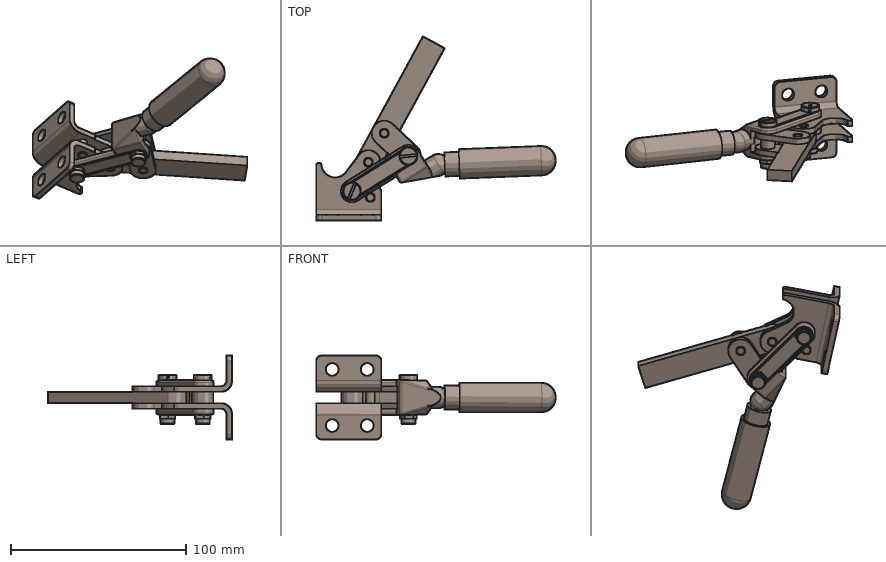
import cadquery as cq
import math


arm_half = 3.1
sheet = 3.3
plate_face = arm_half + sheet
yoke_face = plate_face + sheet
rib_height = 0.4
rib_face = yoke_face + rib_height
overlap = 0.1

base_bolt = (20.4, 16.8)
yoke_angle = 32.0
yoke_pitch = 38.0
yoke_turn = math.radians(yoke_angle)
upper_bolt = (
    base_bolt[0] + yoke_pitch * math.cos(yoke_turn),
    base_bolt[1] + yoke_pitch * math.sin(yoke_turn),
)
arm_pin = (29.8, 33.4)
plate_pin = (38.9, 50.0)
stop_pin = (31.0, 13.3)
pin_radius = 2.6
pin_chamfer = 0.4

bracket_length = 37.2
overall_height = 48.0
bracket_half_height = overall_height / 2
bend_radius = sheet
flange_corner = 3.1
hole_radius = 3.5
hole_xs = (9.2, 29.2)
hole_z = 16.0
bracket_nose = 6.8
notch_centre = (10.8, 32.6)
notch_radius = 7.8
horn_radius = (notch_centre[0] - notch_radius) / 2
horn_y = 31.6
shoulder_y = 17.8

arm_radius = 7.1
arm_length = 78.0
arm_angle = 61.4
spacer_radius = 6.2

yoke_radius = 6.3
yoke_end_u = yoke_pitch + yoke_radius
web_start_u = 26.0
web_start_v = -10.7
web_end_v = -18.1
fold_end_z = 4.1
yoke_fillet = 1.1
rib_radius = 4.9
rib_draft = 0.8

rod_radius = 6.2
rod_v = -13.3
elbow_u = 49.8
handle_angle = 2.2
collar_start = 3.7
grip_start = 12.0
collar_radius = 7.0
grip_radius = 8.5
overall_length = 136.9

head_radius = 5.2
head_top = 13.0
head_chamfer = 0.4
slot_width = 1.3
slot_depth = 1.8
nut_corner_radius = 4.9
nut_height = 1.9
bolt_radius = 4.1
bolt_end = -15.2
base_bolt_turn = 68.0
upper_bolt_turn = 5.7


def polar(centre, radius, degrees):
    """Point at a radius and angle from a centre."""
    turn = math.radians(degrees)
    return (centre[0] + radius * math.cos(turn), centre[1] + radius * math.sin(turn))


def cylinder(centre, radius, low, high):
    """Cylinder parallel to Z."""
    return cq.Workplane(origin=(*centre, low)).circle(radius).extrude(high - low)


def stadium(start, end, radius, low, high):
    """Round-ended bar parallel to XY."""
    run = math.dist(start, end)
    middle = ((start[0] + end[0]) / 2, (start[1] + end[1]) / 2, low)
    turn = math.degrees(math.atan2(end[1] - start[1], end[0] - start[0]))
    bar = cq.Workplane(origin=middle).transformed(rotate=(0, 0, turn))
    return bar.slot2D(run + 2 * radius, 2 * radius).extrude(high - low)


def both_sides(body):
    """Body joined with its reflection in the mid-plane."""
    return body.union(body.mirror("XY"))


def make_bracket():
    """Upper bracket: a shaped side plate bent out into a drilled flange."""
    gap_x = arm_pin[0] - notch_centre[0]
    gap_y = arm_pin[1] - notch_centre[1]
    flank = math.degrees(
        math.atan2(gap_y, gap_x)
        + math.asin((notch_radius + bracket_nose) / math.hypot(gap_x, gap_y))
    )
    outline = (
        cq.Workplane()
        .lineTo(bracket_length, 0)
        .lineTo(bracket_length, shoulder_y)
        .lineTo(arm_pin[0] + bracket_nose, shoulder_y)
        .lineTo(arm_pin[0] + bracket_nose, arm_pin[1])
        .threePointArc(
            polar(arm_pin, bracket_nose, 90), polar(arm_pin, bracket_nose, flank + 90)
        )
        .lineTo(*polar(notch_centre, notch_radius, flank - 90))
        .threePointArc(polar(notch_centre, notch_radius, -90), polar(notch_centre, notch_radius, 180))
        .lineTo(2 * horn_radius, horn_y)
        .threePointArc((horn_radius, horn_y + horn_radius), (0, horn_y))
        .close()
        .extrude(bracket_half_height)
    )
    blank_width = arm_pin[1] + bracket_nose
    blank_height = bracket_half_height - arm_half
    blank = (
        cq.Workplane(origin=(0, 0, arm_half))
        .box(bracket_length, blank_width, blank_height, centered=False)
        .edges("|X and <Y and <Z").fillet(bend_radius + sheet)
    )
    inside = (
        cq.Workplane(origin=(0, sheet, plate_face))
        .box(bracket_length, blank_width, blank_height, centered=False)
        .edges("|X and <Y and <Z").fillet(bend_radius)
    )
    bracket = blank.cut(inside).edges("|Y and >Z").fillet(flange_corner).intersect(outline)
    for x in hole_xs:
        hole = cq.Workplane("XZ", origin=(x, 0, hole_z)).circle(hole_radius).extrude(-sheet)
        bracket = bracket.cut(hole)
    return bracket


def make_arm():
    """Bar with one end round about the arm pin and the other end square."""
    bar = cq.Workplane().transformed(rotate=(0, 0, arm_angle))
    bar = bar.center(arm_length / 2, 0).rect(arm_length, 2 * arm_radius).extrude(arm_half, both=True)
    bar = bar.translate((*arm_pin, 0))
    return bar.union(cylinder(arm_pin, arm_radius, -arm_half, arm_half))


def add_pin(body, centre):
    """Flush pin, its chamfer leaving a fine groove in the plate face."""
    pin = cylinder(centre, pin_radius, -plate_face, plate_face)
    return body.cut(pin).union(pin.faces("<Z or >Z").chamfer(pin_chamfer))


def make_yoke():
    """Two ribbed sides joined by a sloping, tapering web that holds the handle."""
    frame = cq.Plane(
        origin=(*base_bolt, 0), xDir=(math.cos(yoke_turn), math.sin(yoke_turn), 0), normal=(0, 0, 1)
    )
    body = (
        cq.Workplane(frame)
        .moveTo(0, -yoke_radius)
        .threePointArc((-yoke_radius, 0), (0, yoke_radius))
        .lineTo(yoke_pitch, yoke_radius)
        .threePointArc(polar((yoke_pitch, 0), yoke_radius, 45), (yoke_end_u, 0))
        .lineTo(yoke_end_u, web_end_v)
        .lineTo(web_start_u, web_start_v)
        .lineTo(web_start_u, -yoke_radius)
        .close()
        .extrude(yoke_face, both=True)
    )
    lean = (yoke_face - fold_end_z) / (web_start_v - web_end_v)
    trim_v = web_end_v - sheet
    trim_z = yoke_face - lean * (web_start_v - trim_v)
    across = cq.Plane(origin=frame.origin, xDir=frame.yDir, normal=frame.xDir)
    trim = (
        cq.Workplane(across)
        .polyline([(web_start_v, yoke_face), (trim_v, yoke_face), (trim_v, trim_z)])
        .close()
        .extrude(yoke_end_u)
    )
    body = body.cut(both_sides(trim))
    web_corner = frame.toWorldCoords((web_start_u, web_start_v, 0)).toTuple()
    web_lip = body.edges(cq.selectors.NearestToPointSelector(web_corner))
    body = body.edges("not |Z").add(web_lip).fillet(yoke_fillet)

    channel_low = web_start_v + sheet
    channel_high = 2 * yoke_radius
    channel = (
        cq.Workplane(frame)
        .moveTo(yoke_pitch / 2, (channel_low + channel_high) / 2)
        .rect(2 * yoke_end_u, channel_high - channel_low)
        .extrude(plate_face, both=True)
    )
    body = body.cut(channel)

    rib = stadium(base_bolt, upper_bolt, rib_radius, yoke_face - overlap, rib_face)
    rib = rib.faces(">Z").chamfer(rib_height, rib_draft)
    body = body.union(both_sides(rib))

    rod = (
        cq.Workplane(across)
        .workplane(offset=yoke_end_u - sheet)
        .center(rod_v, 0)
        .circle(rod_radius)
        .extrude(elbow_u - yoke_end_u + sheet)
    )
    web_slope = (web_end_v - web_start_v) / (yoke_end_u - web_start_u)
    elbow_web_v = web_start_v + web_slope * (elbow_u - web_start_u)
    under_web = (
        cq.Workplane(frame)
        .moveTo(web_start_u, web_start_v)
        .lineTo(elbow_u, elbow_web_v)
        .lineTo(elbow_u, 2 * rod_v)
        .lineTo(web_start_u, 2 * rod_v)
        .close()
        .extrude(rod_radius, both=True)
    )
    rod = rod.cut(under_web)
    elbow = frame.toWorldCoords((elbow_u, rod_v, 0))
    return body.union(rod), elbow


def make_handle(elbow):
    """Ball elbow, collar and dome-ended grip, turned about the handle axis."""
    turn = math.radians(handle_angle)
    grip_end = (overall_length - grip_radius - elbow.x) / math.cos(turn)
    frame = cq.Plane(
        origin=elbow, xDir=(math.cos(turn), math.sin(turn), 0), normal=(0, 0, 1)
    )
    ball_top = (0, rod_radius)
    ball_exit = polar((0, 0), rod_radius, 45)
    profile = (
        cq.Workplane(frame)
        .moveTo(-rod_radius, 0)
        .threePointArc(ball_top, ball_exit)
        .lineTo(collar_start, ball_exit[1])
        .lineTo(collar_start, collar_radius)
        .lineTo(grip_start, collar_radius)
        .lineTo(grip_start, grip_radius)
        .lineTo(grip_end, grip_radius)
        .threePointArc(polar((grip_end, 0), grip_radius, 45), (grip_end + grip_radius, 0))
        .close()
    )
    return profile.revolve(360, (0, 0, 0), (1, 0, 0))


def make_bolt(centre, turn):
    """Slotted bolt with its head above the yoke and a hexagon nut below."""
    head = cylinder(centre, head_radius, rib_face - overlap, head_top)
    head = head.faces(">Z").chamfer(head_chamfer)
    slot = (
        cq.Workplane(origin=(*centre, head_top - slot_depth))
        .transformed(rotate=(0, 0, turn))
        .rect(2 * head_radius, slot_width)
        .extrude(slot_depth)
    )
    nut = (
        cq.Workplane(origin=(*centre, -rib_face - nut_height))
        .transformed(rotate=(0, 0, turn))
        .polygon(6, 2 * nut_corner_radius)
        .extrude(nut_height + overlap)
    )
    shank = cylinder(centre, bolt_radius, bolt_end, rib_face)
    shank = shank.faces("<Z").chamfer(head_chamfer)
    return head.cut(slot).union(nut).union(shank)


brackets = both_sides(make_bracket())
connecting_plates = both_sides(stadium(plate_pin, upper_bolt, arm_radius, arm_half, plate_face))
linkage = brackets.union(make_arm()).union(connecting_plates)
linkage = linkage.union(cylinder(base_bolt, spacer_radius, -arm_half, arm_half))
for pin_centre in (arm_pin, plate_pin, stop_pin):
    linkage = add_pin(linkage, pin_centre)

yoke, elbow_centre = make_yoke()
result = (
    linkage.union(yoke)
    .union(make_handle(elbow_centre))
    .union(make_bolt(base_bolt, base_bolt_turn))
    .union(make_bolt(upper_bolt, upper_bolt_turn))
)